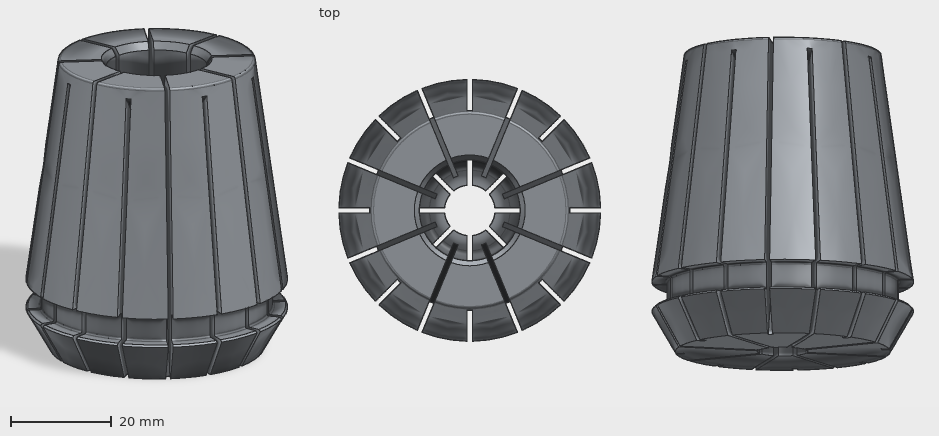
import cadquery as cq
import math

height = 60.0
max_radius = 26.0
cone_angle = 8.0
nose_angle = 30.0

collar_edge_z = 8.1
collar_chamfer = 0.4
groove_bottom_z = collar_edge_z + collar_chamfer
groove_top_z = 14.0
groove_radius = 23.0
groove_fillet = 0.4
top_edge_fillet = 0.5
selection_margin = 0.1

clamp_radius = 5.0
relief_radius = 10.0
relief_floor_z = 27.0
relief_fillet = 2.0
mouth_chamfer_width = 1.0
mouth_chamfer_depth = 1.5

slots_per_set = 8
slot_width = 1.0
slot_pitch = 360.0 / slots_per_set
lower_slot_slope = 45.0
upper_slot_slope = 65.0
lower_slot_end_z = 47.9
upper_slot_foot_radius = 19.8

slot_reach = max_radius + 1.0
slot_overrun = 1.0


def tan(degrees):
    return math.tan(math.radians(degrees))


def make_body():
    """Revolve the outside: lower taper, collar, groove and main taper."""
    nose_radius = max_radius - collar_edge_z * tan(nose_angle)
    top_radius = max_radius - (height - groove_top_z) * tan(cone_angle)
    profile = [
        (0, 0),
        (nose_radius, 0),
        (max_radius, collar_edge_z),
        (max_radius - collar_chamfer, groove_bottom_z),
        (groove_radius, groove_bottom_z),
        (groove_radius, groove_top_z),
        (max_radius, groove_top_z),
        (top_radius, height),
        (0, height),
    ]
    body = cq.Workplane("XZ").polyline(profile).close().revolve(360, (0, 0), (0, 1))
    body = body.faces(">Z").edges().fillet(top_edge_fillet)
    box_half = groove_radius + selection_margin
    groove_box = cq.selectors.BoxSelector(
        (-box_half, -box_half, groove_bottom_z - selection_margin),
        (box_half, box_half, groove_top_z + selection_margin),
        boundingbox=True,
    )
    return body.edges(groove_box).edges("%CIRCLE").fillet(groove_fillet)


def make_bore():
    """Revolve the stepped bore with its rounded floor and chamfered mouth."""
    floor_radius = relief_radius - relief_fillet
    arc_shift = relief_fillet * math.sqrt(0.5)
    arc_middle = (floor_radius + arc_shift, relief_floor_z + relief_fillet - arc_shift)
    return (
        cq.Workplane("XZ")
        .moveTo(0, 0)
        .lineTo(clamp_radius, 0)
        .lineTo(clamp_radius, relief_floor_z)
        .lineTo(floor_radius, relief_floor_z)
        .threePointArc(arc_middle, (relief_radius, relief_floor_z + relief_fillet))
        .lineTo(relief_radius, height - mouth_chamfer_depth)
        .lineTo(relief_radius + mouth_chamfer_width, height)
        .lineTo(0, height)
        .close()
        .revolve(360, (0, 0), (0, 1))
    )


def make_slot(profile):
    """Extrude a radius-height outline into one slot along +X, centred on the XZ plane."""
    return cq.Workplane("XZ").polyline(profile).close().extrude(slot_width / 2, both=True)


def cut_slots(body, slot, first_angle):
    """Cut a slot at equal steps around the axis."""
    for index in range(slots_per_set):
        angle = first_angle + index * slot_pitch
        body = body.cut(slot.rotate((0, 0, 0), (0, 0, 1), angle))
    return body


def make_lower_slot():
    """Slot open at the bottom; its end rises outward from the wide bore."""
    slope = tan(lower_slot_slope)
    axis_end_z = lower_slot_end_z - relief_radius * slope
    outer_end_z = axis_end_z + slot_reach * slope
    return make_slot([
        (0, -slot_overrun),
        (slot_reach, -slot_overrun),
        (slot_reach, outer_end_z),
        (0, axis_end_z),
    ])


def make_upper_slot():
    """Slot open at the top; its floor falls outward to the bottom face."""
    slope = tan(upper_slot_slope)
    foot_radius = upper_slot_foot_radius + slot_overrun / slope
    axis_floor_z = upper_slot_foot_radius * slope
    return make_slot([
        (0, axis_floor_z),
        (foot_radius, -slot_overrun),
        (slot_reach, -slot_overrun),
        (slot_reach, height + slot_overrun),
        (0, height + slot_overrun),
    ])


collet = make_body().cut(make_bore())
collet = cut_slots(collet, make_lower_slot(), 0)
result = cut_slots(collet, make_upper_slot(), slot_pitch / 2)